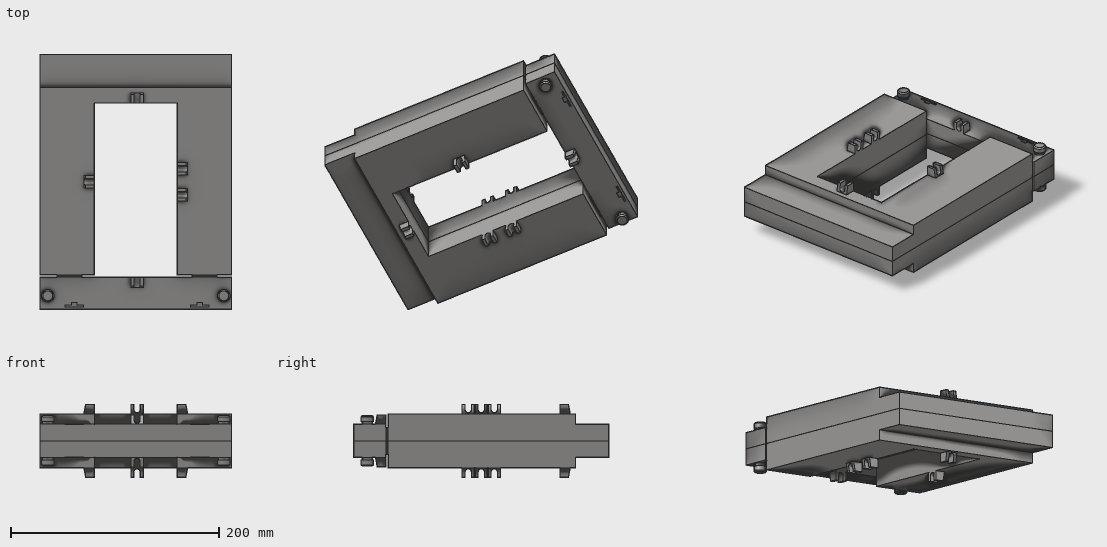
import cadquery as cq


WIDTH = 184.0
LENGTH = 245.0
BACK = LENGTH / 2
FRONT = -LENGTH / 2

FRAME_HEIGHT = 26.0
LOW_HEIGHT = 16.0
LEDGE_LENGTH = 31.8
WINDOW_WIDTH = 79.6
WINDOW_BACK = 75.5
LEG_END = -89.5

BAR_LENGTH = 30.9
BAR_BACK = FRONT + BAR_LENGTH
DETAIL_CENTER_X = 1.2
BRIDGE_WIDTH = 24.0
BRIDGE_HEIGHT = 13.0
BRIDGE_OFFSET = 65.0

CLIP_WIDTH = 12.0
CLIP_DEPTH = 10.0
CLIP_HEIGHT = 9.0
CLIP_SLOPE = 1.7
CLIP_SLOT_WIDTH = 6.0
CLIP_SLOT_FLOOR = 1.0
RIGHT_CLIP_OFFSET = 12.5

SCREW_X = 84.5
SCREW_Y = -109.5
SHANK_DIAMETER = 10.0
SHANK_HEIGHT = 2.5
HEAD_DIAMETER = 12.0
HEAD_HEIGHT = 6.0
HEAD_CHAMFER = 1.2

MARK_OFFSET = 60.3
MARK_WIDTH = 18.1
MARK_BAR = 1.5
MARK_STEM_WIDTH = 5.5
MARK_HEIGHT = 4.2
MARK_FRONT_GAP = 2.5
MARK_DEPTH = 0.5


def block(x_min, x_max, y_min, y_max, height, base=0.0):
    """Box given by its limits in plan, standing on z = base."""
    size_x = x_max - x_min
    size_y = y_max - y_min
    corner = cq.Vector(x_min, y_min, base)
    return cq.Workplane(cq.Solid.makeBox(size_x, size_y, height, corner))


def make_frame():
    """U-shaped frame with a lower ledge along its back."""
    side = WIDTH / 2
    body = block(-side, side, LEG_END, BACK - LEDGE_LENGTH, FRAME_HEIGHT)
    ledge = block(-side, side, BACK - LEDGE_LENGTH, BACK, LOW_HEIGHT)
    window = block(-WINDOW_WIDTH / 2, WINDOW_WIDTH / 2, LEG_END, WINDOW_BACK, FRAME_HEIGHT)
    return body.union(ledge).cut(window)


def make_cross_bar():
    """Bar in front of the legs, with the bridges that reach back to them."""
    bar = block(-WIDTH / 2, WIDTH / 2, FRONT, BAR_BACK, LOW_HEIGHT)
    for side in (-1, 1):
        center = DETAIL_CENTER_X + side * BRIDGE_OFFSET
        left = center - BRIDGE_WIDTH / 2
        bar = bar.union(block(left, left + BRIDGE_WIDTH, BAR_BACK, LEG_END, BRIDGE_HEIGHT))
    return bar


def make_clip():
    """Slotted clip: inner face on x = 0, sloped outer face towards +X, base on z = 0."""
    profile = [
        (0, 0),
        (CLIP_DEPTH, 0),
        (CLIP_DEPTH - CLIP_SLOPE, CLIP_HEIGHT),
        (0, CLIP_HEIGHT),
    ]
    clip = cq.Workplane("XZ").polyline(profile).close().extrude(CLIP_WIDTH / 2, both=True)
    radius = CLIP_SLOT_WIDTH / 2
    slot_center = CLIP_SLOT_FLOOR + radius
    slot = (
        cq.Workplane("YZ")
        .moveTo(-radius, CLIP_HEIGHT)
        .lineTo(-radius, slot_center)
        .threePointArc((0, CLIP_SLOT_FLOOR), (radius, slot_center))
        .lineTo(radius, CLIP_HEIGHT)
        .close()
        .extrude(CLIP_DEPTH)
    )
    return clip.cut(slot)


def make_screw():
    """Round screw head on a shorter, thinner shank."""
    shank = cq.Workplane("XY").circle(SHANK_DIAMETER / 2).extrude(SHANK_HEIGHT)
    head = (
        cq.Workplane("XY")
        .workplane(offset=SHANK_HEIGHT)
        .circle(HEAD_DIAMETER / 2)
        .extrude(HEAD_HEIGHT)
        .faces(">Z")
        .chamfer(HEAD_CHAMFER)
    )
    return shank.union(head)


def make_mark(center_x):
    """Shallow T-shaped recess, its crossbar along the front edge."""
    top = LOW_HEIGHT - MARK_DEPTH
    left = center_x - MARK_WIDTH / 2
    stem_left = center_x - MARK_STEM_WIDTH / 2
    front = FRONT + MARK_FRONT_GAP
    crossbar = block(left, left + MARK_WIDTH, front, front + MARK_BAR, MARK_DEPTH, top)
    stem = block(stem_left, stem_left + MARK_STEM_WIDTH, front, front + MARK_HEIGHT, MARK_DEPTH, top)
    return crossbar.union(stem)


def make_shell():
    """Upper shell: everything above z = 0."""
    shell = make_frame().union(make_cross_bar())

    window_side = WINDOW_WIDTH / 2
    clip_places = [
        (-window_side, 0, FRAME_HEIGHT, 180),
        (window_side, RIGHT_CLIP_OFFSET, FRAME_HEIGHT, 0),
        (window_side, -RIGHT_CLIP_OFFSET, FRAME_HEIGHT, 0),
        (DETAIL_CENTER_X, WINDOW_BACK, FRAME_HEIGHT, 90),
        (DETAIL_CENTER_X, BAR_BACK, LOW_HEIGHT, -90),
    ]
    clip = make_clip()
    for x, y, z, angle in clip_places:
        shell = shell.union(clip.rotate((0, 0, 0), (0, 0, 1), angle).translate((x, y, z)))

    screw = make_screw()
    for side in (-1, 1):
        shell = shell.union(screw.translate((side * SCREW_X, SCREW_Y, LOW_HEIGHT)))
        shell = shell.cut(make_mark(DETAIL_CENTER_X + side * MARK_OFFSET))
    return shell


upper_shell = make_shell()
lower_shell = upper_shell.mirror("XY")

result = cq.Compound.makeCompound([upper_shell.solids().val(), lower_shell.solids().val()])